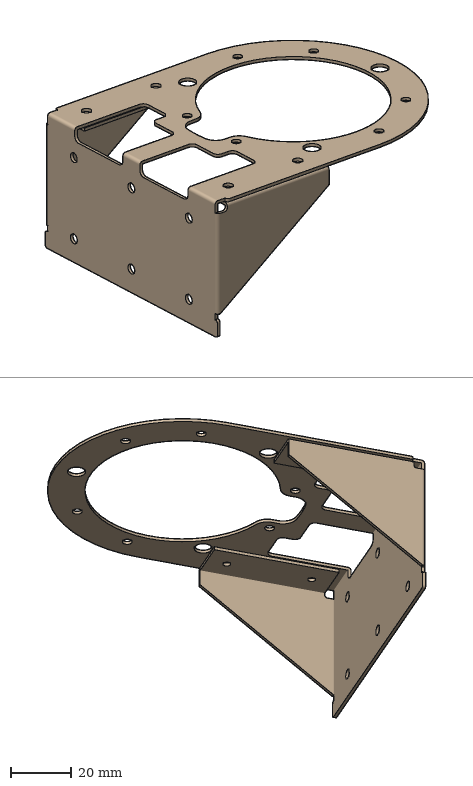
import cadquery as cq
import math

WIDTH = 90.0
LENGTH = 115.0
HEIGHT = 50.0
SHEET = 1.2
INNER_BEND = 0.06
OUTER_BEND = INNER_BEND + SHEET
BEND_LEG = OUTER_BEND + SHEET
HALF_WIDTH = WIDTH / 2
THROUGH = 2 * SHEET

RING_CENTER_Y = LENGTH - HALF_WIDTH
OPENING_RADIUS = 32.5
NECK_HALF_WIDTH = 9.0
NECK_END_ARC_RADIUS = 42.0
NECK_RADIUS = 5.0
BOLT_CIRCLE_RADIUS = 37.5
LARGE_HOLE = 6.0
LARGE_HOLE_ANGLES = (90, 210, 330)
SMALL_HOLE = 3.2
SMALL_HOLE_ANGLES = (10, 50, 130, 170, 250, 290)

WINDOW_INNER_X = 4.5
WINDOW_STEP_X = 17.0
WINDOW_OUTER_X = 29.5
WINDOW_STEP_Y = 23.0
WINDOW_END_Y = 30.0
WINDOW_DEPTH = 5.1
WINDOW_RADIUS = 2.1

SCREW_HOLE = 3.5
SCREW_SPACING = 30.0
TAPPED_HOLE = 2.5
TAB_HOLE_X = 37.0
TAB_HOLE_Y = 11.3
WALL_HOLE_DEPTH = 11.3

FLANGE_LENGTH = 48.3
FLANGE_BACK_DEPTH = 8.2
FLANGE_BOTTOM = 41.5
TAB_GAP = 0.3
TAB_DEPTH = SHEET + TAB_GAP
TAB_WIDTH = 15.4

CORNER_RELIEF = 4.3
WALL_RELIEF_END = 43.7
RELIEF_STRIP = (-HALF_WIDTH, -HALF_WIDTH + OUTER_BEND)
CORNER_RADIUS = 1.0


def bent_sheet(plane, leg_x, leg_y, depth):
    """L-shaped sheet with its outer corner on the plane origin, legs along local x and y."""
    outer_mid = OUTER_BEND - OUTER_BEND * math.sqrt(0.5)
    inner_mid = OUTER_BEND - INNER_BEND * math.sqrt(0.5)
    return (
        cq.Workplane(plane)
        .moveTo(leg_x, 0)
        .lineTo(OUTER_BEND, 0)
        .threePointArc((outer_mid, outer_mid), (0, OUTER_BEND))
        .lineTo(0, leg_y)
        .lineTo(SHEET, leg_y)
        .lineTo(SHEET, OUTER_BEND)
        .threePointArc((inner_mid, inner_mid), (OUTER_BEND, SHEET))
        .lineTo(leg_x, SHEET)
        .close()
        .extrude(depth)
    )


def box(x_range, y_range, z_range):
    """Box between the given lower and upper limits."""
    limits = (x_range, y_range, z_range)
    sizes = [upper - lower for lower, upper in limits]
    corner = tuple(lower for lower, upper in limits)
    return cq.Workplane("XY").box(*sizes, centered=False).translate(corner)


def plate_drill(points, diameter, depth):
    """Vertical cylinders that start at the plate top."""
    return cq.Workplane("XY").pushPoints(points).circle(diameter / 2).extrude(-depth)


def bolt_points(angles):
    """Points on the bolt circle at the given angles in degrees."""
    return [
        (
            BOLT_CIRCLE_RADIUS * math.cos(math.radians(angle)),
            RING_CENTER_Y + BOLT_CIRCLE_RADIUS * math.sin(math.radians(angle)),
        )
        for angle in angles
    ]


def main_sheet():
    """Plate with a round back end, bent down into the front wall."""
    plane = cq.Plane(origin=(HALF_WIDTH, 0, 0), xDir=(0, 1, 0), normal=(-1, 0, 0))
    sheet = bent_sheet(plane, LENGTH, HEIGHT, WIDTH)
    outline = (
        cq.Workplane("XY")
        .moveTo(-HALF_WIDTH, 0)
        .lineTo(HALF_WIDTH, 0)
        .lineTo(HALF_WIDTH, RING_CENTER_Y)
        .threePointArc((0, LENGTH), (-HALF_WIDTH, RING_CENTER_Y))
        .close()
        .extrude(-HEIGHT)
    )
    sheet = sheet.intersect(outline)
    return sheet.edges("|Y and <Z").fillet(CORNER_RADIUS)


def ring_opening():
    """Round opening with a neck toward the front wall, closed by an arc about the same center."""
    center = cq.Workplane("XY").center(0, RING_CENTER_Y)
    opening = center.circle(OPENING_RADIUS).extrude(-THROUGH)
    neck = box((-NECK_HALF_WIDTH, NECK_HALF_WIDTH), (0, RING_CENTER_Y), (-THROUGH, 0))
    neck = neck.intersect(center.circle(NECK_END_ARC_RADIUS).extrude(-THROUGH))
    neck = neck.edges("|Z and (not >Y)").fillet(NECK_RADIUS)
    mouth_y = RING_CENTER_Y - math.sqrt(OPENING_RADIUS**2 - NECK_HALF_WIDTH**2)
    mouth = cq.selectors.BoxSelector(
        (-NECK_HALF_WIDTH - SHEET, mouth_y - SHEET, -HEIGHT),
        (NECK_HALF_WIDTH + SHEET, mouth_y + SHEET, HEIGHT),
    )
    return opening.union(neck).edges("|Z").edges(mouth).fillet(NECK_RADIUS)


def window():
    """Window left of the middle: a stepped part in the plate and a part in the wall."""
    plate_part = (
        cq.Workplane("XY")
        .moveTo(-WINDOW_OUTER_X, -SHEET)
        .lineTo(-WINDOW_OUTER_X, WINDOW_END_Y)
        .lineTo(-WINDOW_STEP_X, WINDOW_END_Y)
        .lineTo(-WINDOW_STEP_X, WINDOW_STEP_Y)
        .lineTo(-WINDOW_INNER_X, WINDOW_STEP_Y)
        .lineTo(-WINDOW_INNER_X, -SHEET)
        .close()
        .extrude(-THROUGH)
        .edges("|Z and (not <Y)")
        .fillet(WINDOW_RADIUS)
    )
    wall_part = box((-WINDOW_OUTER_X, -WINDOW_INNER_X), (0, THROUGH), (-WINDOW_DEPTH, 0))
    return plate_part.union(wall_part.edges("|Y and <Z").fillet(WINDOW_RADIUS))


def corner_relief():
    """Cut at the left edge that clears the plate corner and the wall edge for the side flange."""
    plate_cut = box(RELIEF_STRIP, (0, CORNER_RELIEF), (-THROUGH, 0))
    wall_cut = box(RELIEF_STRIP, (0, SHEET), (-WALL_RELIEF_END, 0))
    return plate_cut.union(wall_cut)


def round_relief_corners(sheet):
    """Round the outer corners where the reliefs leave the side edges of the plate and the wall."""
    margin = SHEET / 2
    for side in (-HALF_WIDTH, HALF_WIDTH):
        for direction, y, z in (("|Z", CORNER_RELIEF, -margin), ("|Y", margin, -WALL_RELIEF_END)):
            corner = cq.selectors.BoxSelector(
                (side - margin, y - margin, z - margin), (side + margin, y + margin, z + margin)
            )
            sheet = sheet.edges(direction).edges(corner).fillet(CORNER_RADIUS)
    return sheet


def side_flange():
    """Left flange, bent back from the wall and in again under the plate."""
    bend_end = TAB_DEPTH + OUTER_BEND
    wall_plane = cq.Plane(origin=(-HALF_WIDTH, 0, -FLANGE_BOTTOM))
    flange = bent_sheet(wall_plane, BEND_LEG, FLANGE_LENGTH, FLANGE_BOTTOM - bend_end)
    tab_plane = cq.Plane(
        origin=(-HALF_WIDTH, CORNER_RELIEF, -TAB_DEPTH), xDir=(1, 0, 0), normal=(0, 1, 0)
    )
    tab = bent_sheet(tab_plane, TAB_WIDTH, BEND_LEG, FLANGE_LENGTH - CORNER_RELIEF)
    relief = box(RELIEF_STRIP, (0, CORNER_RELIEF), (-CORNER_RELIEF, 0))
    relief = relief.edges("|X and >Y and <Z").fillet(CORNER_RADIUS)
    slant = (
        cq.Workplane("YZ", origin=(-HALF_WIDTH, 0, 0))
        .moveTo(SHEET, -FLANGE_BOTTOM)
        .lineTo(FLANGE_LENGTH, -FLANGE_BACK_DEPTH)
        .lineTo(FLANGE_LENGTH, -FLANGE_BOTTOM)
        .close()
        .extrude(SHEET)
    )
    return flange.union(tab).cut(relief).cut(slant)


def both_sides(left):
    """The left shape joined with its mirror image on the right."""
    return left.union(left.mirror("YZ"))


result = main_sheet().cut(ring_opening()).cut(both_sides(window()))
result = result.cut(both_sides(corner_relief()))
result = round_relief_corners(result)
result = result.cut(plate_drill(bolt_points(LARGE_HOLE_ANGLES), LARGE_HOLE, THROUGH))
result = result.cut(plate_drill(bolt_points(SMALL_HOLE_ANGLES), SMALL_HOLE, THROUGH))

wall_hole_points = [
    (column * SCREW_SPACING, -WALL_HOLE_DEPTH - row * SCREW_SPACING)
    for column in (-1, 0, 1)
    for row in (0, 1)
]
wall_drill = cq.Workplane("XZ").pushPoints(wall_hole_points).circle(SCREW_HOLE / 2).extrude(-SHEET)
result = result.cut(wall_drill)

tab_hole_points = [
    (side * TAB_HOLE_X, TAB_HOLE_Y + row * SCREW_SPACING) for side in (-1, 1) for row in (0, 1)
]
result = result.union(both_sides(side_flange()))
result = result.cut(plate_drill(tab_hole_points, SCREW_HOLE, SHEET))
result = result.cut(plate_drill(tab_hole_points, TAPPED_HOLE, TAB_DEPTH + SHEET))